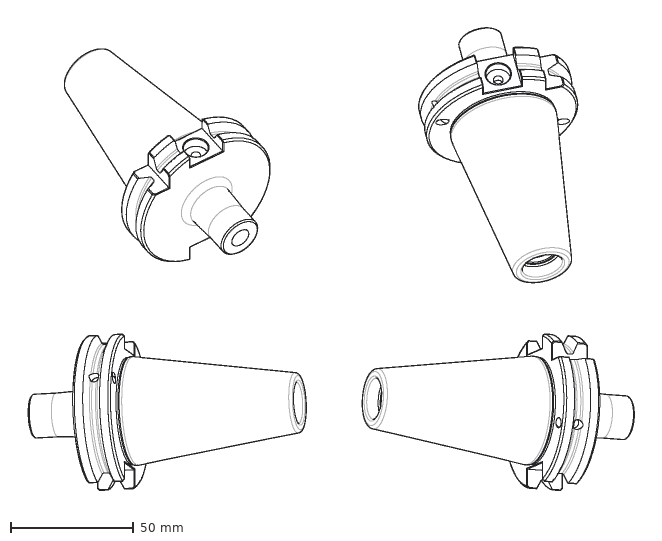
import cadquery as cq
import math

flange_width = 16.0
flange_radius = 31.75
rim_chamfer = 0.9

groove_centre = 7.92
groove_depth = 3.8
groove_floor_width = 2.7
groove_wall_angle = 30
groove_top_width = groove_floor_width + 2 * groove_depth * math.tan(math.radians(groove_wall_angle))
groove_floor_radius = flange_radius - groove_depth
groove_corner_radius = 0.9

overall_length = 112.4
shank_length = 71.6
taper_small_radius = 12.3
taper_large_radius = 22.3
taper_end_round = 1.3
taper_collar_length = 2.5
relief_start = 1.3
relief_length = 0.6
relief_depth = 0.2

nose_length = overall_length - shank_length
nose_tip_radius = 9.0
nose_root_radius = 9.8
nose_cylinder_start = 30.8
nose_root_fillet = 2.8
nose_tip_chamfer = 0.7

drill_half_angle = 59

through_radius = 4.2
mouth_radius = 9.2
mouth_round = 0.8
counterbore_radius = mouth_radius - mouth_round
counterbore_depth = 5.8
seat_radius = 7.5
seat_length = 0.3
thread_radius = 7.0
thread_depth = 9.2

slot_width = 16.1
top_slot_floor = 24.7
bottom_slot_floor = 22.8
notch_offset = 18.3
edge_break = 0.3

pocket_radius = 5.1
pocket_depth = 4.6
pilot_radius = 1.9
pilot_depth = 3.4

coolant_radius = 2.0
coolant_angle = 20
coolant_face_radius = 26.9
coolant_slant = 45
coolant_slant_depth = 1.9
coolant_lead = 5.6
plug_depth = 3.6
plug_radius = groove_floor_radius - plug_depth

margin = 0.1


def make_shank():
    """Taper, short collar and shallow relief, revolved about X."""
    relief_radius = taper_large_radius - relief_depth
    profile = (
        cq.Workplane("XY")
        .moveTo(-shank_length, 0)
        .lineTo(-shank_length, taper_small_radius)
        .lineTo(-taper_collar_length, taper_large_radius)
        .lineTo(-relief_start, taper_large_radius)
        .lineTo(-relief_start + relief_length, relief_radius)
        .lineTo(0, relief_radius)
        .lineTo(0, 0)
        .close()
    )
    shank = profile.revolve(360, (0, 0, 0), (1, 0, 0))
    return shank.faces("<X").edges().fillet(taper_end_round)


def make_groove():
    """Ring with a V section and rounded floor corners."""
    half_floor = groove_floor_width / 2
    half_top = groove_top_width / 2
    ring = (
        cq.Workplane("XY")
        .moveTo(groove_centre - half_top, flange_radius + margin)
        .lineTo(groove_centre - half_top, flange_radius)
        .lineTo(groove_centre - half_floor, groove_floor_radius)
        .lineTo(groove_centre + half_floor, groove_floor_radius)
        .lineTo(groove_centre + half_top, flange_radius)
        .lineTo(groove_centre + half_top, flange_radius + margin)
        .close()
        .revolve(360, (0, 0, 0), (1, 0, 0))
    )
    floor_edges = ring.edges(cq.selectors.RadiusNthSelector(0))
    return floor_edges.fillet(groove_corner_radius)


def flange_block(y_min, y_max, z_min, z_max):
    """Block across the whole flange width."""
    return (
        cq.Workplane("XY")
        .box(flange_width, y_max - y_min, z_max - z_min, centered=False)
        .translate((0, y_min, z_min))
    )


def is_inner_corner(edge):
    """True for an edge along X, at mid-width, that lies inside the rim."""
    middle = edge.Center()
    off_end_faces = abs(middle.x - flange_width / 2) < flange_width / 4
    return off_end_faces and math.hypot(middle.y, middle.z) < flange_radius - edge_break


def make_flange():
    """Disc with two drive slots and a corner notch, edges broken, then grooved."""
    disc = (
        cq.Workplane("YZ")
        .circle(flange_radius)
        .extrude(flange_width)
        .faces("<X or >X")
        .edges()
        .chamfer(rim_chamfer)
    )
    half_slot = slot_width / 2
    outside = 2 * flange_radius
    cutouts = [
        (-half_slot, half_slot, top_slot_floor, outside),
        (-half_slot, half_slot, -outside, -bottom_slot_floor),
        (-outside, -notch_offset, notch_offset, outside),
    ]
    for y_min, y_max, z_min, z_max in cutouts:
        disc = disc.cut(flange_block(y_min, y_max, z_min, z_max))
        outline = cq.selectors.BoxSelector(
            (-margin, y_min - margin, z_min - margin),
            (flange_width + margin, y_max + margin, z_max + margin),
            boundingbox=True,
        )
        sharp_edges = disc.edges(outline).filter(lambda edge: not is_inner_corner(edge))
        disc = sharp_edges.chamfer(edge_break)
    return disc.cut(make_groove())


def make_nose():
    """Slightly conical nose ending in a cylinder."""
    nose = (
        cq.Workplane("XY")
        .moveTo(0, 0)
        .lineTo(0, nose_root_radius)
        .lineTo(flange_width, nose_root_radius)
        .lineTo(nose_cylinder_start, nose_tip_radius)
        .lineTo(nose_length, nose_tip_radius)
        .lineTo(nose_length, 0)
        .close()
        .revolve(360, (0, 0, 0), (1, 0, 0))
    )
    return nose.faces(">X").edges().chamfer(nose_tip_chamfer)


def drill_cone_length(large_radius, small_radius):
    """Axial length of a drill cone between two radii."""
    return (large_radius - small_radius) / math.tan(math.radians(drill_half_angle))


def make_bore():
    """Rounded mouth, counterbore, seat, thread core and through hole, joined by drill cones."""
    start = -shank_length
    seat_start = start + counterbore_depth + drill_cone_length(counterbore_radius, seat_radius)
    seat_end = seat_start + seat_length
    thread_start = seat_end + drill_cone_length(seat_radius, thread_radius)
    thread_end = start + thread_depth
    through_start = thread_end + drill_cone_length(thread_radius, through_radius)
    return (
        cq.Workplane("XY")
        .moveTo(start, 0)
        .lineTo(start, mouth_radius)
        .radiusArc((start + mouth_round, counterbore_radius), -mouth_round)
        .lineTo(start + counterbore_depth, counterbore_radius)
        .lineTo(seat_start, seat_radius)
        .lineTo(seat_end, seat_radius)
        .lineTo(thread_start, thread_radius)
        .lineTo(thread_end, thread_radius)
        .lineTo(through_start, through_radius)
        .lineTo(nose_length, through_radius)
        .lineTo(nose_length, 0)
        .close()
        .revolve(360, (0, 0, 0), (1, 0, 0))
    )


def make_slot_pocket():
    """Round pocket with a conical-bottomed pilot hole."""
    pilot_tip = drill_cone_length(pilot_radius, 0)
    floor = top_slot_floor - pocket_depth
    return (
        cq.Workplane("XZ")
        .moveTo(0, top_slot_floor)
        .lineTo(pocket_radius + edge_break, top_slot_floor)
        .lineTo(pocket_radius, top_slot_floor - edge_break)
        .lineTo(pocket_radius, floor)
        .lineTo(pilot_radius, floor)
        .lineTo(pilot_radius, floor - pilot_depth)
        .lineTo(0, floor - pilot_depth - pilot_tip)
        .close()
        .revolve(360, (0, 0, 0), (0, 1, 0))
        .translate((groove_centre, 0, 0))
    )


def make_coolant_holes():
    """Radial hole in the groove floor and slanted hole in the flange face, both along +Y."""
    radial = cq.Solid.makeCylinder(
        coolant_radius,
        flange_radius - plug_radius,
        cq.Vector(groove_centre, plug_radius, 0),
        cq.Vector(0, 1, 0),
    )
    slant = math.radians(coolant_slant)
    inward = cq.Vector(math.cos(slant), -math.sin(slant), 0)
    mouth_centre = cq.Vector(0, coolant_face_radius, 0)
    slanted = cq.Solid.makeCylinder(
        coolant_radius,
        coolant_lead + coolant_slant_depth,
        mouth_centre - inward * coolant_lead,
        inward,
    )
    return cq.Workplane(radial).union(cq.Workplane(slanted))


flange = make_flange()
for turn in (0, 180):
    holes = make_coolant_holes().rotate((0, 0, 0), (1, 0, 0), coolant_angle + turn)
    flange = flange.cut(holes)
flange = flange.cut(make_slot_pocket())

result = flange.union(make_shank()).union(make_nose())
root_edges = cq.selectors.BoxSelector(
    (flange_width - margin, -nose_root_radius - margin, -nose_root_radius - margin),
    (flange_width + margin, nose_root_radius + margin, nose_root_radius + margin),
    boundingbox=True,
)
result = result.edges(root_edges).fillet(nose_root_fillet)
result = result.cut(make_bore())